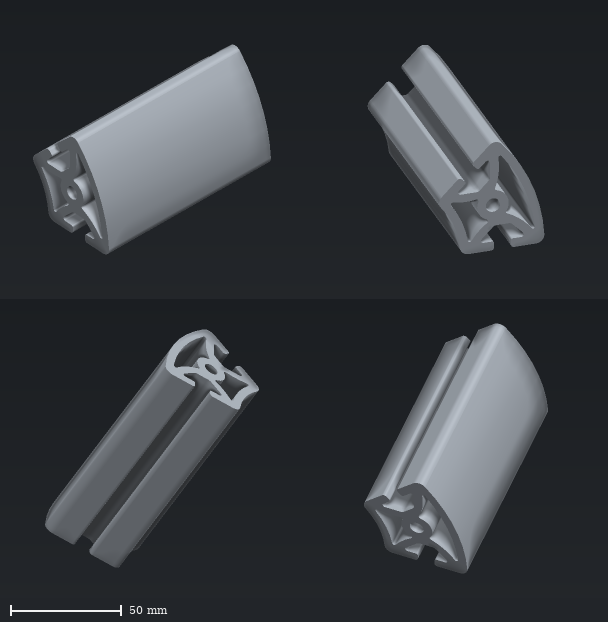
import cadquery as cq
import math

length = 100.0
sector_angle = 45.0
inner_radius = 40.0
outer_radius = 80.0
wall = 4.0
corner_radius = 4.0

middle_radius = (inner_radius + outer_radius) / 2
boss_radius = 7.5
bore_diameter = 6.8

slot_width = 8.0
lip_thickness = 4.5
lip_round = 1.0
mouth_round = 1.5
slot_depth = 12.5
floor_half_width = 3.9
undercut_round = 1.2
floor_round = 2.5
slot_overcut = 5.0

web_radius = 30.0
pocket_tip_round = 0.9
pocket_root_round = 0.9
outer_tip_angle = 3.9
outer_root_angle = -40.6
inner_tip_angle = 5.4
inner_root_angle = 262.0


def polar(radius, angle, center=(0, 0)):
    """Point at a radius and an angle in degrees about a center."""
    turn = math.radians(angle)
    return center[0] + radius * math.cos(turn), center[1] + radius * math.sin(turn)


middle_angle = sector_angle / 2
boss_center = polar(middle_radius, middle_angle)


def mirrored(point):
    """Reflect a point across the middle radius of the sector."""
    radius = math.hypot(*point)
    angle = math.degrees(math.atan2(point[1], point[0]))
    return polar(radius, sector_angle - angle)


def arc_middle(start, end, radius):
    """Middle of an arc that bulges to the left when going from start to end."""
    dx = end[0] - start[0]
    dz = end[1] - start[1]
    chord = math.hypot(dx, dz)
    bulge = radius - math.sqrt(radius**2 - (chord / 2) ** 2)
    return (
        (start[0] + end[0]) / 2 - dz / chord * bulge,
        (start[1] + end[1]) / 2 + dx / chord * bulge,
    )


def round_edges(body, points, radius):
    """Fillet the lengthwise edges that pass through the given section points."""
    for x, z in points:
        edge = cq.selectors.NearestToPointSelector((x, -length / 2, z))
        body = body.edges("|Y").edges(edge).fillet(radius)
    return body


def sector_body():
    body = (
        cq.Workplane("XZ")
        .moveTo(inner_radius, 0)
        .lineTo(outer_radius, 0)
        .threePointArc(polar(outer_radius, middle_angle), polar(outer_radius, sector_angle))
        .lineTo(*polar(inner_radius, sector_angle))
        .threePointArc(polar(inner_radius, middle_angle), (inner_radius, 0))
        .close()
        .extrude(length)
    )
    return body.edges("|Y").fillet(corner_radius)


def slot_cutter():
    """T-slot opening through the lower face, with 45 degree undercut sides."""
    throat = slot_width / 2
    undercut = floor_half_width + slot_depth - lip_thickness
    right_side = [
        (throat, -slot_overcut),
        (throat, lip_thickness),
        (undercut, lip_thickness),
        (floor_half_width, slot_depth),
    ]
    left_side = [(-x, z) for x, z in reversed(right_side)]
    outline = [(middle_radius + x, z) for x, z in right_side + left_side]
    _, right_lip, right_undercut, right_floor, left_floor, left_undercut, left_lip, _ = outline
    cutter = cq.Workplane("XZ").polyline(outline).close().extrude(length)
    cutter = round_edges(cutter, [right_undercut, left_undercut], undercut_round)
    cutter = round_edges(cutter, [right_floor, left_floor], floor_round)
    return round_edges(cutter, [right_lip, left_lip], lip_round)


def outer_pocket():
    tip = polar(outer_radius - wall, outer_tip_angle)
    root = polar(boss_radius, outer_root_angle, boss_center)
    web_middle = arc_middle(root, tip, web_radius)
    pocket = (
        cq.Workplane("XZ")
        .moveTo(*root)
        .threePointArc(web_middle, tip)
        .threePointArc(polar(outer_radius - wall, middle_angle), mirrored(tip))
        .threePointArc(mirrored(web_middle), mirrored(root))
        .threePointArc(polar(boss_radius, middle_angle, boss_center), root)
        .close()
        .extrude(length)
    )
    pocket = round_edges(pocket, [tip, mirrored(tip)], pocket_tip_round)
    return round_edges(pocket, [root, mirrored(root)], pocket_root_round)


def inner_pocket():
    tip = polar(inner_radius + wall, inner_tip_angle)
    root = polar(boss_radius, inner_root_angle, boss_center)
    web_middle = arc_middle(tip, root, web_radius)
    pocket = (
        cq.Workplane("XZ")
        .moveTo(*tip)
        .threePointArc(web_middle, root)
        .threePointArc(polar(boss_radius, middle_angle + 180, boss_center), mirrored(root))
        .threePointArc(mirrored(web_middle), mirrored(tip))
        .threePointArc(polar(inner_radius + wall, middle_angle), tip)
        .close()
        .extrude(length)
    )
    pocket = round_edges(pocket, [tip, mirrored(tip)], pocket_tip_round)
    return round_edges(pocket, [root, mirrored(root)], pocket_root_round)


def bore():
    return cq.Workplane("XZ").center(*boss_center).circle(bore_diameter / 2).extrude(length)


lower_slot = slot_cutter()
upper_slot = lower_slot.mirror("XY").rotate((0, 0, 0), (0, 1, 0), -sector_angle)
result = sector_body().cut(lower_slot).cut(upper_slot)

for side in (-1, 1):
    mouth = (middle_radius + side * slot_width / 2, 0)
    result = round_edges(result, [mouth, mirrored(mouth)], mouth_round)

result = result.cut(outer_pocket()).cut(inner_pocket()).cut(bore())